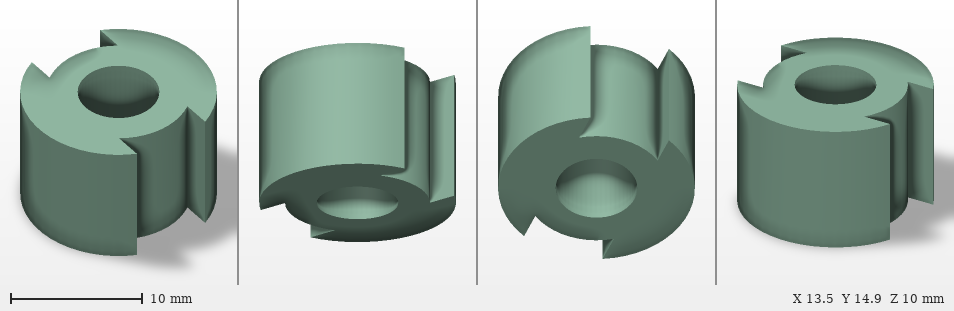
import cadquery as cq

height = 10.0
outer_diameter = 14.94
core_diameter = 11.0
bore_diameter = 6.2
slot_width = 6.42


def cylinder(diameter):
    """Full-height cylinder standing on the XY plane."""
    return cq.Workplane("XY").circle(diameter / 2).extrude(height)


slot = cq.Workplane("XY").rect(outer_diameter, slot_width).extrude(height)
outer_segments = cylinder(outer_diameter).cut(slot)

result = outer_segments.union(cylinder(core_diameter)).cut(cylinder(bore_diameter))